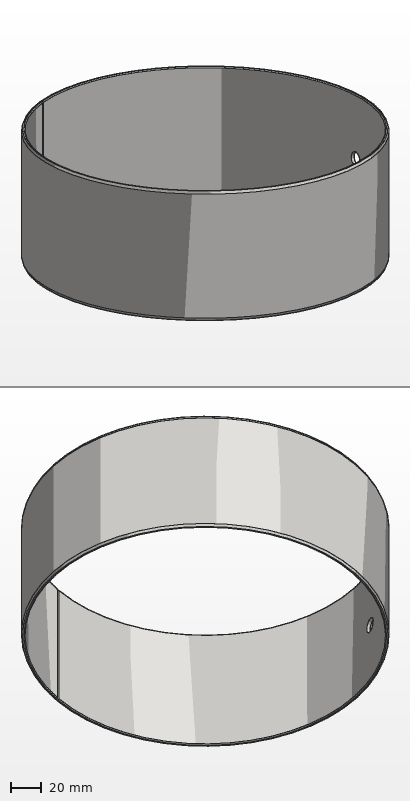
import cadquery as cq

outer_diameter = 240.0
height = 90.0
wall = 2.5
rim_chamfer_width = 0.7
outer_chamfer_height = 2.0
inner_chamfer_height = 0.7

slit_width = 1.7

hole_diameter = 10.0
hole_angle = 58.9

outer_radius = outer_diameter / 2
inner_radius = outer_radius - wall


def make_ring():
    """Revolve the wall section, with all four rim edges chamfered."""
    half_height = height / 2
    outer_shoulder = half_height - outer_chamfer_height
    inner_shoulder = half_height - inner_chamfer_height
    rim_outer_radius = outer_radius - rim_chamfer_width
    rim_inner_radius = inner_radius + rim_chamfer_width
    section = [
        (inner_radius, -inner_shoulder),
        (rim_inner_radius, -half_height),
        (rim_outer_radius, -half_height),
        (outer_radius, -outer_shoulder),
        (outer_radius, outer_shoulder),
        (rim_outer_radius, half_height),
        (rim_inner_radius, half_height),
        (inner_radius, inner_shoulder),
    ]
    return cq.Workplane("XZ").polyline(section).close().revolve(360, (0, 0), (0, 1))


def make_slit():
    """Full-height cutter reaching from the axis through the -X wall."""
    blade = cq.Workplane("XY").box(outer_diameter, slit_width, height)
    return blade.translate((-outer_radius, slit_width / 2, 0))


def make_hole():
    """Radial cutter from the axis through one side of the wall."""
    drill = cq.Workplane("YZ").circle(hole_diameter / 2).extrude(outer_diameter)
    return drill.rotate((0, 0, 0), (0, 0, 1), hole_angle)


result = make_ring().cut(make_slit()).cut(make_hole())